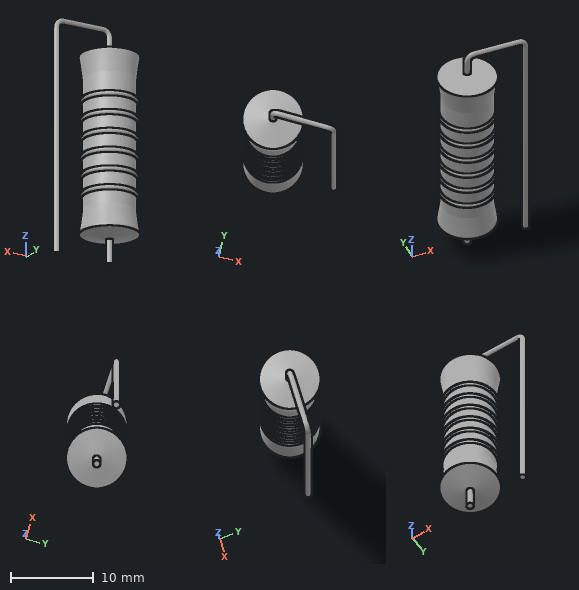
import cadquery as cq
import math


WIRE_DIAMETER = 0.9
WIRE_RADIUS = WIRE_DIAMETER / 2
LEAD_PITCH = 7.62
LEAD_BOTTOM_Z = -3.0
LEAD_TOP_Z = 27.25
BEND_RADIUS = WIRE_DIAMETER

STANDOFF = 0.1
BODY_LENGTH = 24.0
BARREL_RADIUS = 6.75 / 2
CAP_RADIUS = 7.5 / 2
CONE_HEIGHT = 0.6
RIM_HEIGHT = 0.3
FLARE_HEIGHT = 2.7
FLARE_HOLLOW = 0.02

RING_COUNT = 6
RING_HEIGHT = 0.675
RING_PROJECTION = 0.225
RING_DROP = 0.36

CAP_HEIGHT = CONE_HEIGHT + RIM_HEIGHT + FLARE_HEIGHT
BARREL_LENGTH = BODY_LENGTH - 2 * CAP_HEIGHT
BODY_TOP_Z = STANDOFF + BODY_LENGTH
BARREL_BOTTOM_Z = STANDOFF + CAP_HEIGHT
BARREL_TOP_Z = BODY_TOP_Z - CAP_HEIGHT
RING_PITCH = BARREL_LENGTH / (RING_COUNT + 1)


def flare_middle(lower_half):
    """Middle point (r, z) of the concave flare between barrel and rim."""
    flare_width = CAP_RADIUS - BARREL_RADIUS
    chord = math.hypot(flare_width, FLARE_HEIGHT)
    radius = (BARREL_RADIUS + CAP_RADIUS) / 2 - FLARE_HOLLOW * FLARE_HEIGHT / chord
    above_barrel = FLARE_HEIGHT / 2 - FLARE_HOLLOW * flare_width / chord
    if lower_half:
        return (radius, BARREL_BOTTOM_Z - above_barrel)
    return (radius, BARREL_TOP_Z + above_barrel)


def make_body():
    """Barrel with a flared, rimmed and cone-ended cap at each end."""
    profile = (
        cq.Workplane("XZ")
        .moveTo(0, STANDOFF)
        .lineTo(WIRE_RADIUS, STANDOFF)
        .lineTo(CAP_RADIUS, STANDOFF + CONE_HEIGHT)
        .lineTo(CAP_RADIUS, STANDOFF + CONE_HEIGHT + RIM_HEIGHT)
        .threePointArc(flare_middle(lower_half=True), (BARREL_RADIUS, BARREL_BOTTOM_Z))
        .lineTo(BARREL_RADIUS, BARREL_TOP_Z)
        .threePointArc(
            flare_middle(lower_half=False),
            (CAP_RADIUS, BODY_TOP_Z - CONE_HEIGHT - RIM_HEIGHT),
        )
        .lineTo(CAP_RADIUS, BODY_TOP_Z - CONE_HEIGHT)
        .lineTo(WIRE_RADIUS, BODY_TOP_Z)
        .lineTo(0, BODY_TOP_Z)
        .close()
    )
    return profile.revolve(360, (0, 0), (0, 1))


def make_ring(middle_z):
    """Rounded ring standing out of the barrel, rooted on the axis."""
    bottom_z = middle_z - RING_HEIGHT / 2
    top_z = middle_z + RING_HEIGHT / 2
    profile = (
        cq.Workplane("XZ")
        .moveTo(0, bottom_z)
        .lineTo(BARREL_RADIUS, bottom_z)
        .threePointArc((BARREL_RADIUS + RING_PROJECTION, middle_z), (BARREL_RADIUS, top_z))
        .lineTo(0, top_z)
        .close()
    )
    return profile.revolve(360, (0, 0), (0, 1))


def make_lead():
    """Wire up through the body, across and back down to the mounting side."""
    run_z = LEAD_TOP_Z - WIRE_RADIUS
    bend_start_z = run_z - BEND_RADIUS
    bend_inset = BEND_RADIUS * (1 - math.sqrt(0.5))
    path = (
        cq.Workplane("XZ")
        .moveTo(0, LEAD_BOTTOM_Z)
        .lineTo(0, bend_start_z)
        .threePointArc((bend_inset, run_z - bend_inset), (BEND_RADIUS, run_z))
        .lineTo(LEAD_PITCH - BEND_RADIUS, run_z)
        .threePointArc((LEAD_PITCH - bend_inset, run_z - bend_inset), (LEAD_PITCH, bend_start_z))
        .lineTo(LEAD_PITCH, LEAD_BOTTOM_Z)
    )
    section = cq.Workplane("XY").workplane(offset=LEAD_BOTTOM_Z).circle(WIRE_RADIUS)
    return section.sweep(path)


result = make_body()
for ring_number in range(1, RING_COUNT + 1):
    division_z = BARREL_TOP_Z - ring_number * RING_PITCH
    result = result.union(make_ring(division_z - RING_DROP))
result = result.union(make_lead())